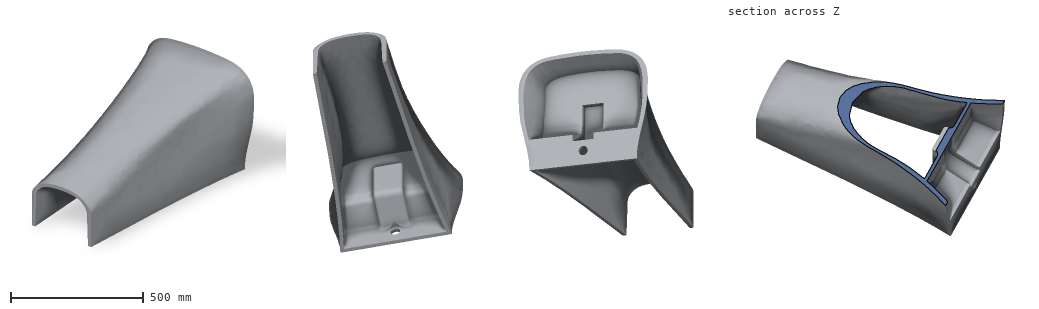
import cadquery as cq


LENGTH = 850.0
FOOT_HEIGHT = 211.0
RIM_HEIGHT = 449.71
WALL = 15.0
STATION_COUNT = 6

FOOT_OUTLINE = [
    (142.0, 0.0),
    (142.0, 0.15),
    (142.0, 0.30),
    (142.0, 0.44),
    (142.0, 0.57),
    (138.5, 0.73),
    (118.6, 0.84),
    (80.0, 0.945),
    (45.0, 0.985),
    (0.0, 1.0),
]
RIM_OUTLINE = [
    (215.0, 0.0),
    (222.8, 0.16),
    (240.0, 0.32),
    (253.5, 0.465),
    (258.4, 0.61),
    (249.0, 0.825),
    (221.6, 0.91),
    (170.0, 0.97),
    (105.0, 0.991),
    (0.0, 1.0),
]
INNER_INSETS = [WALL, 16.5, 18.0, 19.0, 20.0, 18.0, 10.0, 1.0, 0.0, 0.0]

EDGE_LINEAR_SHARE = 0.65
EDGE_FLARE_POWER = 4.0
BODY_FLARE_POWER = 3.4
CROWN_FLARE_POWER = 2.1
BODY_FROM_FRACTION = 0.6
CROWN_FROM_FRACTION = 0.9

DECK_THICKNESS = 15.0
DECK_FACE_Y = LENGTH - DECK_THICKNESS
TAP_HOLE_DIAMETER = 36.0
TAP_HOLE_Z = 55.0

BOWL_ROOT_Z = 107.0
BOWL_ROOT_RADIUS = 20.0
BOWL_LEDGE_Z = 142.0
BOWL_LEDGE_Y = 735.0
BOWL_LEDGE_RADIUS = 22.0
BOWL_BEND_Z = 181.0
BOWL_BOTTOM_Y = 725.0

TROUGH_HALF_WIDTH = 57.0
TROUGH_ROOT_Z = 82.0
TROUGH_LOWER_Z = 120.0
TROUGH_BOTTOM_Y = 695.0
TROUGH_FAR_Z = 290.0
TROUGH_BOTTOM_RADIUS = 29.0
TROUGH_SIDE_RADIUS = 11.0
TROUGH_BLEND_RADIUS = 18.0

RELIEF_HALF_WIDTH = 50.0
RELIEF_EDGE_Z = 65.0
RELIEF_PEAK_Z = 88.0
RELIEF_PEAK_HALF_WIDTH = 14.0
RELIEF_PEAK_RISE = 5.0


def half_widths(t):
    """Half width of every outline point at the fraction t of the length."""
    edge = EDGE_LINEAR_SHARE * t + (1 - EDGE_LINEAR_SHARE) * t**EDGE_FLARE_POWER
    body = t**BODY_FLARE_POWER
    crown = t**CROWN_FLARE_POWER
    widths = []
    for (foot_x, _), (rim_x, rim_fraction) in zip(FOOT_OUTLINE, RIM_OUTLINE):
        body_share = min(rim_fraction / BODY_FROM_FRACTION, 1.0)
        growth = edge + (body - edge) * body_share
        if rim_fraction > CROWN_FROM_FRACTION:
            growth = crown
        widths.append(foot_x + (rim_x - foot_x) * growth)
    return widths


def section(t, inner):
    """Closed arch-shaped wire at the fraction t of the length."""
    height = FOOT_HEIGHT + (RIM_HEIGHT - FOOT_HEIGHT) * t
    widths = half_widths(t)
    if inner:
        height -= WALL
        widths = [x - inset for x, inset in zip(widths, INNER_INSETS)]
    right = []
    for x, (_, foot_f), (_, rim_f) in zip(widths, FOOT_OUTLINE, RIM_OUTLINE):
        z = height * (foot_f + (rim_f - foot_f) * t)
        right.append(cq.Vector(x, LENGTH * t, z))
    left = [cq.Vector(-p.x, p.y, p.z) for p in reversed(right[:-1])]
    arch = cq.Edge.makeSpline(right + left)
    base = cq.Edge.makeLine(left[-1], right[0])
    return cq.Wire.assembleEdges([arch, base])


def body(inner):
    """Solid arch lofted from the foot to the rim."""
    stations = [i / (STATION_COUNT - 1) for i in range(STATION_COUNT)]
    return cq.Workplane(cq.Solid.makeLoft([section(t, inner) for t in stations]))


def prism(profile, half_width):
    """Extrude a (y, z) profile symmetrically about X = 0."""
    return cq.Workplane("YZ").polyline(profile).close().extrude(half_width, both=True)


def edge_near(y, z):
    """Selector for the edge that crosses X = 0 nearest to (y, z)."""
    return cq.selectors.NearestToPointSelector((0, y, z))


def bowl_underside():
    """Tap deck and bowl in one block, wider than the shell that trims it."""
    profile = [
        (LENGTH, 0),
        (DECK_FACE_Y, 0),
        (DECK_FACE_Y, BOWL_ROOT_Z),
        (BOWL_LEDGE_Y, BOWL_LEDGE_Z),
        (BOWL_BOTTOM_Y, BOWL_BEND_Z),
        (BOWL_BOTTOM_Y, RIM_HEIGHT),
        (LENGTH, RIM_HEIGHT),
    ]
    block = prism(profile, RIM_HEIGHT)
    block = block.edges(edge_near(DECK_FACE_Y, BOWL_ROOT_Z)).fillet(BOWL_ROOT_RADIUS)
    return block.edges(edge_near(BOWL_LEDGE_Y, BOWL_LEDGE_Z)).fillet(BOWL_LEDGE_RADIUS)


def bowl_cavity():
    """Basin recess, one wall thickness inside the bowl underside."""
    profile = [
        (LENGTH, BOWL_ROOT_Z + WALL),
        (DECK_FACE_Y, BOWL_ROOT_Z + WALL),
        (BOWL_LEDGE_Y + WALL, BOWL_LEDGE_Z + WALL),
        (BOWL_BOTTOM_Y + WALL, BOWL_BEND_Z + WALL),
        (BOWL_BOTTOM_Y + WALL, RIM_HEIGHT),
        (LENGTH, RIM_HEIGHT),
    ]
    return prism(profile, RIM_HEIGHT)


def trough_block(inset):
    """Trough under the bowl, shrunk by inset on its sides, bottom and underside."""
    bottom_y = TROUGH_BOTTOM_Y + inset
    lower_z = TROUGH_LOWER_Z + inset
    far_z = TROUGH_FAR_Z - inset
    profile = [
        (LENGTH, TROUGH_ROOT_Z + inset),
        (DECK_FACE_Y, TROUGH_ROOT_Z + inset),
        (bottom_y, lower_z),
        (bottom_y, far_z),
        (LENGTH, far_z),
    ]
    block = prism(profile, TROUGH_HALF_WIDTH - inset)
    return block.edges(edge_near(bottom_y, lower_z)).fillet(TROUGH_BOTTOM_RADIUS)


def basin_underside():
    """Bowl and trough, with the trough rounded and blended into the bowl."""
    trough = trough_block(0)
    trough = trough.faces("<Y").edges("|Z").fillet(TROUGH_SIDE_RADIUS)
    joined = bowl_underside().union(trough)
    margin = 1.0
    blend_zone = cq.selectors.BoxSelector(
        (-TROUGH_HALF_WIDTH - margin, BOWL_BOTTOM_Y - margin, TROUGH_ROOT_Z - margin),
        (TROUGH_HALF_WIDTH + margin, DECK_FACE_Y + margin, TROUGH_FAR_Z + margin),
        boundingbox=True,
    )
    return joined.edges(blend_zone).fillet(TROUGH_BLEND_RADIUS)


def nut_relief():
    """Arched clearance under the deck, between the trough and the tap hole."""
    shoulder_z = RELIEF_PEAK_Z - RELIEF_PEAK_RISE
    return (
        cq.Workplane("XZ", origin=(0, DECK_FACE_Y, 0))
        .moveTo(-RELIEF_HALF_WIDTH, 0)
        .lineTo(-RELIEF_HALF_WIDTH, RELIEF_EDGE_Z)
        .lineTo(-RELIEF_PEAK_HALF_WIDTH, shoulder_z)
        .threePointArc((0, RELIEF_PEAK_Z), (RELIEF_PEAK_HALF_WIDTH, shoulder_z))
        .lineTo(RELIEF_HALF_WIDTH, RELIEF_EDGE_Z)
        .lineTo(RELIEF_HALF_WIDTH, 0)
        .close()
        .extrude(LENGTH)
    )


def tap_hole():
    """Cylinder through the deck."""
    start = cq.Workplane("XZ", origin=(0, LENGTH, TAP_HOLE_Z))
    return start.circle(TAP_HOLE_DIAMETER / 2).extrude(DECK_THICKNESS)


def basin():
    """Deck and bowl with its recess open at the rim; the shell trims the sides."""
    block = basin_underside()
    for removed in (bowl_cavity(), trough_block(WALL), nut_relief(), tap_hole()):
        block = block.cut(removed)
    return block


hollow = body(inner=True).cut(basin())
shell = body(inner=False).cut(hollow)
result = cq.Workplane(shell.solids().val())